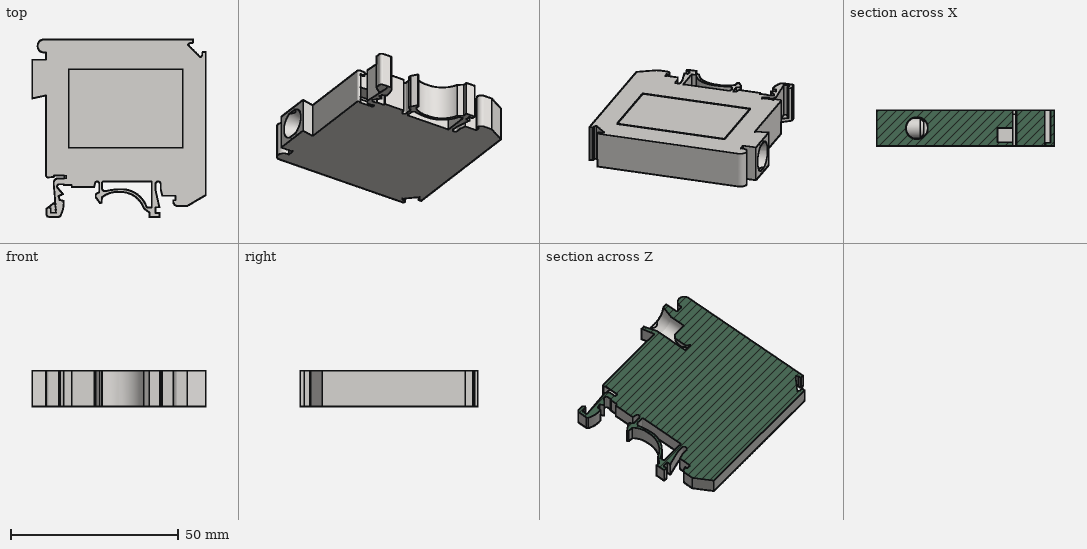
import cadquery as cq
import math


WIDTH = 52.0
LENGTH = 53.2
HEIGHT = 10.81
SPLIT_Z = HEIGHT / 2
COVER_WALL = 1.2
INNER_TOP = HEIGHT - COVER_WALL

WALL_X = 4.1
BEAD_RADIUS = 2.0
BEAD_OVERHANG = 2.5
SOCKET_TOP = 47.15
SOCKET_BOTTOM = 35.45
SOCKET_TAPER = 0.9
SEAM_Y = 11.6
HEEL_Y = 7.15
BEAM_RIGHT = 39.2
HEEL_BEVEL = 0.75
TOE_TOP_X = 45.05
TOE_TIP_X, TOE_TIP_Y = 47.1, 3.65
RIGHT_FLANK_Y = 6.55
CORNER_ROUND = 0.8
LIP_X = 6.55
LIP_Y = 12.0
LIP_BASE_Y = 11.8
GAP_Y = 12.4
GAP_END = 9.6
GAP_END_TOP = 10.25
CAVITY_RIGHT = 12.15
CAVITY_END_Y = 17.0

LIP_SETBACK = 3.8
LIP_THICKNESS = 1.15
LIP_EDGE_ROUND = 0.25
UNDERCUT_START = 4.75
GROOVE_NEAR = 1.6
GROOVE_FAR = 5.4

LABEL_LEFT, LABEL_RIGHT = 11.0, 45.05
LABEL_BOTTOM, LABEL_TOP = 20.8, 44.25
LABEL_DEPTH = 0.2

WIRE_Y = 41.15
MOUTH_DIAMETER = 9.0
BORE_DIAMETER = 6.5
BORE_DEPTH = 15.0
SCREW_DIAMETER = 6.0
SCREW_X = 12.0
SCREW_END_Y = 39.15
SCREW_CHAMFER = 1.0

TAB_TOP_LEFT, TAB_TOP_RIGHT = 12.15, 18.15
TAB_DRAFT = 0.65
PAD_Y = 8.95

BEAM_UNDERSIDE = 10.6
BEAM_LEFT_UNDERSIDE = 9.8
HOOK_LEFT = 6.4
HOOK_ROUND = 1.45
HOOK_INNER_X = 8.1
POST_LEFT, POST_RIGHT = 20.05, 20.95
SLOT_WIDTH = 1.5
SLOT_LEFT = 36.95
SLOT_RIGHT = SLOT_LEFT + SLOT_WIDTH


def cover_half(bottom, top):
    """One half of the covers, between two heights."""
    bead_x = WALL_X - BEAD_OVERHANG + BEAD_RADIUS
    bead_y = LENGTH - BEAD_RADIUS
    bead_end_y = bead_y - math.sqrt(BEAD_RADIUS ** 2 - (WALL_X - bead_x) ** 2)
    tip_x = WIDTH - LIP_SETBACK
    tip_y = LENGTH - LIP_SETBACK
    outline = (
        cq.Workplane("XY", origin=(0, 0, bottom))
        .moveTo(bead_x, LENGTH)
        .lineTo(tip_x, LENGTH)
        .lineTo(tip_x, LENGTH - LIP_THICKNESS + LIP_EDGE_ROUND)
        .lineTo(tip_x - LIP_EDGE_ROUND, LENGTH - LIP_THICKNESS)
        .lineTo(WIDTH - UNDERCUT_START, LENGTH - LIP_THICKNESS)
        .lineTo(WIDTH - GROOVE_FAR, LENGTH - GROOVE_NEAR)
        .lineTo(WIDTH - GROOVE_NEAR, LENGTH - GROOVE_FAR)
        .lineTo(WIDTH - LIP_THICKNESS, LENGTH - UNDERCUT_START)
        .lineTo(WIDTH - LIP_THICKNESS, tip_y - LIP_EDGE_ROUND)
        .lineTo(WIDTH - LIP_THICKNESS + LIP_EDGE_ROUND, tip_y)
        .lineTo(WIDTH, tip_y)
        .lineTo(WIDTH, RIGHT_FLANK_Y)
        .lineTo(TOE_TIP_X, TOE_TIP_Y)
        .lineTo(TOE_TOP_X, HEEL_Y)
        .lineTo(BEAM_RIGHT + HEEL_BEVEL, HEEL_Y)
        .lineTo(BEAM_RIGHT, HEEL_Y + HEEL_BEVEL)
        .lineTo(BEAM_RIGHT, SEAM_Y)
        .lineTo(GAP_END, SEAM_Y)
        .lineTo(GAP_END, GAP_Y)
        .lineTo(LIP_X, GAP_Y)
        .lineTo(LIP_X, LIP_Y)
        .lineTo(WALL_X + CORNER_ROUND, LIP_BASE_Y)
        .radiusArc((WALL_X, LIP_BASE_Y + CORNER_ROUND), CORNER_ROUND)
        .lineTo(WALL_X, SOCKET_BOTTOM + SOCKET_TAPER)
        .lineTo(0, SOCKET_BOTTOM)
        .lineTo(0, SOCKET_TOP)
        .lineTo(WALL_X, SOCKET_TOP)
        .lineTo(WALL_X, bead_end_y)
        .threePointArc((bead_x - BEAD_RADIUS, bead_y), (bead_x, LENGTH))
        .close()
    )
    return outline.extrude(top - bottom)


def box_between(low, high):
    """Box between two opposite corners."""
    size = [b - a for a, b in zip(low, high)]
    return cq.Workplane("XY").box(*size, centered=False).translate(low)


def plate(points, bottom, top):
    """Straight-sided outline extruded between two heights."""
    return cq.Workplane("XY", origin=(0, 0, bottom)).polyline(points).close().extrude(top - bottom)


def lip_relief():
    """Removes the lip left of the hook below the outer wall of the upper cover."""
    return box_between((WALL_X + CORNER_ROUND, 0, 0), (LIP_X, GAP_Y, INNER_TOP))


def lower_cavity():
    """Cavity between the wall of the lower cover and the joint, open above the hook."""
    return box_between(
        (WALL_X + CORNER_ROUND, GAP_Y, COVER_WALL), (CAVITY_RIGHT, CAVITY_END_Y, SPLIT_Z)
    )


def upper_gap_end():
    """Wider end of the hook clearance, in the outer wall of the upper cover."""
    return box_between((GAP_END, SEAM_Y, INNER_TOP), (GAP_END_TOP, GAP_Y, HEIGHT))


def label_recess():
    """Shallow rectangular recess for a label."""
    return box_between(
        (LABEL_LEFT, LABEL_BOTTOM, HEIGHT - LABEL_DEPTH), (LABEL_RIGHT, LABEL_TOP, HEIGHT)
    )


def wire_entry():
    """Funnel, limited by the cover walls, leading into a blind bore."""
    funnel = (
        cq.Workplane("YZ", origin=(0, WIRE_Y, SPLIT_Z))
        .circle(MOUTH_DIAMETER / 2)
        .workplane(offset=WALL_X)
        .circle(BORE_DIAMETER / 2)
        .loft(ruled=True)
    )
    between_walls = box_between((0, 0, COVER_WALL), (WIDTH, LENGTH, INNER_TOP))
    bore = (
        cq.Workplane("YZ", origin=(0, WIRE_Y, SPLIT_Z)).circle(BORE_DIAMETER / 2).extrude(BORE_DEPTH)
    )
    return funnel.intersect(between_walls).union(bore)


def clamping_screw():
    """Chamfered screw tip reaching across the bore along Y, rooted in the far bore wall."""
    return (
        cq.Workplane("XZ", origin=(SCREW_X, SCREW_END_Y, SPLIT_Z))
        .circle(SCREW_DIAMETER / 2)
        .extrude(-BORE_DIAMETER)
        .faces("<Y")
        .chamfer(SCREW_CHAMFER)
    )


def locking_tab():
    """Tapered tab on the outer wall of the upper cover, set into the locking pad."""
    outline = [
        (TAB_TOP_LEFT, SEAM_Y),
        (TAB_TOP_RIGHT, SEAM_Y),
        (TAB_TOP_RIGHT - TAB_DRAFT, PAD_Y),
        (TAB_TOP_LEFT + TAB_DRAFT, PAD_Y),
    ]
    return plate(outline, INNER_TOP, HEIGHT)


def foot_beam():
    """Beam under the covers with the locking pad, from the hook to the toe."""
    step_x = 9.4
    step_y = 9.55
    pad_left = 11.85
    pad_right = 18.55
    notch_radius = 0.6
    notch_x = POST_LEFT - notch_radius
    notch_y = BEAM_UNDERSIDE - notch_radius
    notch_side = (notch_x - notch_radius, notch_y)
    return (
        cq.Workplane("XY")
        .moveTo(HOOK_LEFT + HOOK_ROUND, SEAM_Y)
        .lineTo(BEAM_RIGHT, SEAM_Y)
        .lineTo(BEAM_RIGHT, BEAM_UNDERSIDE - SLOT_WIDTH / 2)
        .lineTo(SLOT_RIGHT, BEAM_UNDERSIDE - SLOT_WIDTH / 2)
        .radiusArc((SLOT_LEFT, BEAM_UNDERSIDE - SLOT_WIDTH / 2), -SLOT_WIDTH / 2)
        .lineTo(SLOT_LEFT, BEAM_UNDERSIDE)
        .lineTo(POST_LEFT, BEAM_UNDERSIDE)
        .lineTo(POST_LEFT, notch_y)
        .threePointArc((notch_x, BEAM_UNDERSIDE), notch_side)
        .lineTo(pad_right, PAD_Y)
        .lineTo(pad_left, PAD_Y)
        .lineTo(pad_left, step_y)
        .lineTo(step_x, step_y)
        .lineTo(step_x, BEAM_LEFT_UNDERSIDE)
        .lineTo(HOOK_LEFT + HOOK_ROUND, BEAM_LEFT_UNDERSIDE)
        .close()
        .extrude(HEIGHT)
    )


def foot_hook():
    """Latching hook with barb, catch and a release finger with a screwdriver slot."""
    finger_left = 4.25
    finger_round = 0.8
    finger_shoulder = (finger_left, 2.45)
    finger_tip = (5.0, 3.05)
    slot_left_top = (5.5, 2.6)
    slot_floor = 1.2
    slot_left, slot_right = 5.5, 7.15
    web_height = 1.1
    web_root = (6.85, 4.45)
    catch_right = (9.45, 4.85)
    catch_bulge = (9.2, 2.1)
    catch_foot = (8.4, 0.2)
    base_right = (7.9, 0)
    barb_notch_low = (8.25, 5.15)
    barb_notch_high = (7.95, 6.25)
    barb_tip = (9.25, 6.85)
    barb_root = (7.75, 8.6)
    inner_bend = (7.55, 9.4)

    hook = (
        cq.Workplane("XY")
        .moveTo(HOOK_INNER_X, SEAM_Y)
        .lineTo(HOOK_LEFT + HOOK_ROUND, SEAM_Y)
        .radiusArc((HOOK_LEFT, SEAM_Y - HOOK_ROUND), -HOOK_ROUND)
        .lineTo(slot_right, slot_floor)
        .lineTo(slot_left, slot_floor)
        .lineTo(*slot_left_top)
        .lineTo(*finger_tip)
        .lineTo(*finger_shoulder)
        .lineTo(finger_left, finger_round)
        .radiusArc((finger_left + finger_round, 0), -finger_round)
        .lineTo(*base_right)
        .lineTo(*catch_foot)
        .threePointArc(catch_bulge, catch_right)
        .lineTo(*barb_notch_low)
        .lineTo(*barb_notch_high)
        .lineTo(*barb_tip)
        .lineTo(*barb_root)
        .threePointArc(inner_bend, (HOOK_INNER_X, BEAM_LEFT_UNDERSIDE))
        .close()
        .extrude(HEIGHT)
    )
    slot_web = plate(
        [(slot_right, slot_floor), (slot_left, slot_floor), slot_left_top, finger_tip, web_root],
        0,
        web_height,
    )
    return hook.union(slot_web)


def foot_arch():
    """Curved spring with its post, pawl and straight leg."""
    crown_x = 26.05
    inner_crown = (crown_x, 7.45)
    outer_crown = (crown_x, 8.35)
    pawl_root_y = 7.45
    pawl_left = 19.0
    pawl_top, pawl_bottom = 6.85, 5.95
    pawl_tip_left = (20.3, 4.1)
    pawl_tip_right = (20.8, 4.3)
    inner_start = (POST_RIGHT, 5.9)
    inner_left_mid = (22.75, 6.95)
    inner_right_mid = (30.65, 6.2)
    inner_end = (33.45, 2.55)
    outer_end_x = 34.35
    outer_right_mid = (31.4, 6.85)
    outer_left_mid = (23.9, 8.15)
    outer_start = (21.85, 7.75)
    post_fillet_mid = (21.2, 8.0)
    post_fillet_top = 8.7
    window_round = 0.4
    foot_left = 35.1
    foot_left_top = 1.3
    leg_left = 35.75
    leg_flare_x = 38.15
    leg_flare_start = 8.1
    leg_slot_bottom, leg_slot_top = 1.2, 2.85
    return (
        cq.Workplane("XY")
        .moveTo(POST_LEFT, BEAM_UNDERSIDE)
        .lineTo(POST_LEFT, pawl_root_y)
        .lineTo(pawl_left, pawl_top)
        .lineTo(pawl_left, pawl_bottom)
        .lineTo(*pawl_tip_left)
        .lineTo(*pawl_tip_right)
        .lineTo(*inner_start)
        .threePointArc(inner_left_mid, inner_crown)
        .threePointArc(inner_right_mid, inner_end)
        .lineTo(foot_left, foot_left_top)
        .lineTo(foot_left, 0)
        .lineTo(leg_flare_x, 0)
        .lineTo(leg_flare_x, leg_slot_bottom)
        .lineTo(SLOT_LEFT, leg_slot_bottom)
        .lineTo(SLOT_LEFT, leg_slot_top)
        .lineTo(leg_flare_x, leg_slot_top)
        .lineTo(SLOT_LEFT, leg_flare_start)
        .lineTo(SLOT_LEFT, BEAM_UNDERSIDE)
        .lineTo(leg_left, BEAM_UNDERSIDE)
        .lineTo(leg_left, leg_slot_top)
        .lineTo(outer_end_x, leg_slot_top)
        .threePointArc(outer_right_mid, outer_crown)
        .threePointArc(outer_left_mid, outer_start)
        .threePointArc(post_fillet_mid, (POST_RIGHT, post_fillet_top))
        .lineTo(POST_RIGHT, BEAM_UNDERSIDE - window_round)
        .radiusArc((POST_RIGHT + window_round, BEAM_UNDERSIDE), window_round)
        .close()
        .extrude(HEIGHT)
    )


def foot_toe():
    """Fixed toe right of the spring slot."""
    flank_bend = 8.2
    underside_left, underside_y = 38.95, 6.3
    toe_inner_x = 42.9
    nose_x = 42.2
    nose_top, nose_bottom = 5.05, 4.5
    nose_bend = (42.6, 3.7)
    base_left, base_right, base_y = 43.4, 46.4, 3.25
    return (
        cq.Workplane("XY")
        .moveTo(SLOT_RIGHT, BEAM_UNDERSIDE - SLOT_WIDTH / 2)
        .lineTo(SLOT_RIGHT, flank_bend)
        .lineTo(underside_left, underside_y)
        .lineTo(toe_inner_x, underside_y)
        .lineTo(toe_inner_x, nose_top)
        .lineTo(nose_x, nose_top)
        .lineTo(nose_x, nose_bottom)
        .threePointArc(nose_bend, (base_left, base_y))
        .lineTo(base_right, base_y)
        .lineTo(TOE_TIP_X, TOE_TIP_Y)
        .lineTo(TOE_TOP_X, HEEL_Y)
        .lineTo(BEAM_RIGHT + HEEL_BEVEL, HEEL_Y)
        .lineTo(BEAM_RIGHT, HEEL_Y + HEEL_BEVEL)
        .lineTo(BEAM_RIGHT, BEAM_UNDERSIDE - SLOT_WIDTH / 2)
        .close()
        .extrude(HEIGHT)
    )


tab = locking_tab()
foot = foot_beam().union(foot_hook()).union(foot_arch()).union(foot_toe()).cut(tab)

lower_cover = cover_half(0, SPLIT_Z)
lower_cover = lower_cover.cut(lip_relief()).cut(lower_cavity()).cut(wire_entry())

upper_cover = cover_half(SPLIT_Z, HEIGHT)
upper_cover = upper_cover.cut(lip_relief()).cut(upper_gap_end()).cut(wire_entry())
upper_cover = upper_cover.cut(label_recess()).union(tab)

result = lower_cover.union(upper_cover, clean=False)
result = result.union(foot, clean=False).union(clamping_screw(), clean=False)